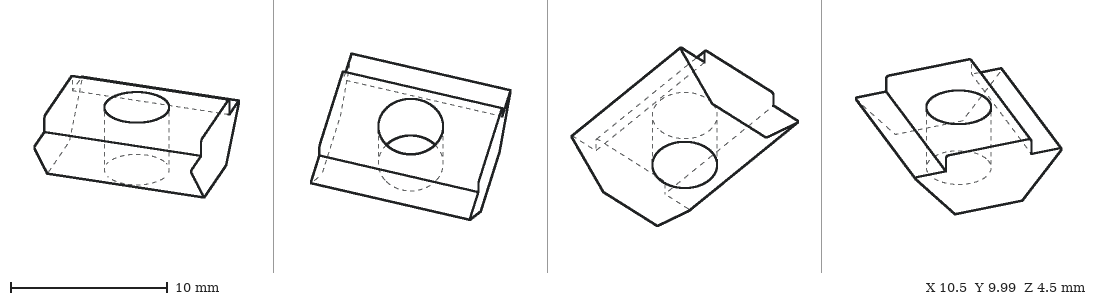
import cadquery as cq
import math

LENGTH = 10.5
WIDTH = 9.99
HEIGHT = 4.5
NECK_WIDTH = 5.85
SHOULDER_HEIGHT = 3.35
FLANK_ANGLE = 50.0
NECK_RADIUS = 0.2
EDGE_RADIUS = 0.1
HOLE_DIAMETER = 4.134

flank = math.radians(FLANK_ANGLE)
tip_half_width = WIDTH / 2 - EDGE_RADIUS + EDGE_RADIUS / math.tan(flank / 2)
base_half_width = tip_half_width - SHOULDER_HEIGHT / math.tan(flank)
neck_half_width = NECK_WIDTH / 2


def nut_body():
    """Sharp-edged T-nut section in the YZ plane, extruded along X and centred on it."""
    section = [
        (-base_half_width, 0),
        (base_half_width, 0),
        (tip_half_width, SHOULDER_HEIGHT),
        (neck_half_width, SHOULDER_HEIGHT),
        (neck_half_width, HEIGHT),
        (-neck_half_width, HEIGHT),
        (-neck_half_width, SHOULDER_HEIGHT),
        (-tip_half_width, SHOULDER_HEIGHT),
    ]
    return cq.Workplane("YZ").polyline(section).close().extrude(LENGTH / 2, both=True)


def round_edge_pair(body, half_width, height, radius):
    """Round the two lengthwise edges at Y = +/- half_width and the given height."""
    for side in (-1, 1):
        edge_middle = (0, side * half_width, height)
        body = body.edges(cq.selectors.NearestToPointSelector(edge_middle)).fillet(radius)
    return body


def through_hole():
    """Vertical bore through the centre of the nut."""
    return cq.Workplane("XY").circle(HOLE_DIAMETER / 2).extrude(HEIGHT)


result = nut_body()
result = round_edge_pair(result, neck_half_width, HEIGHT, NECK_RADIUS)
result = round_edge_pair(result, tip_half_width, SHOULDER_HEIGHT, EDGE_RADIUS)
result = round_edge_pair(result, base_half_width, 0, EDGE_RADIUS)
result = result.cut(through_hole())